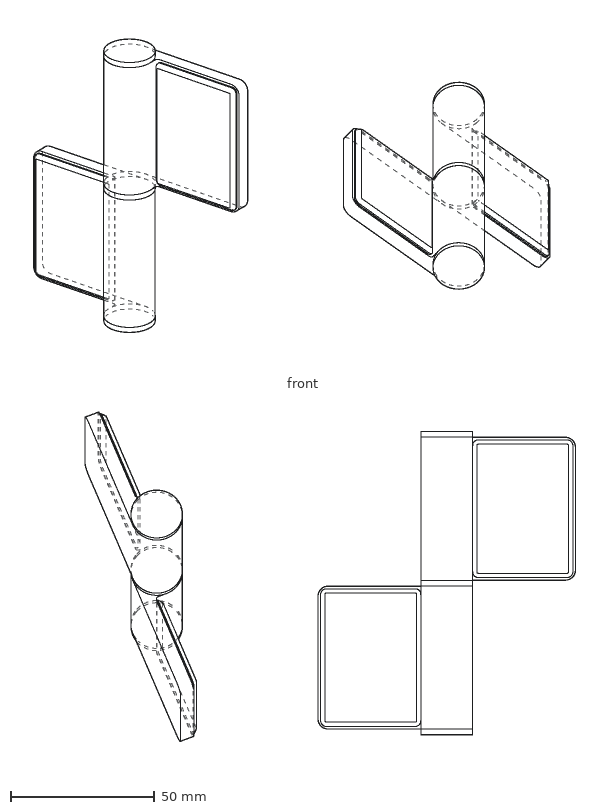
import cadquery as cq

total_height = 106.0
total_width = 90.0
barrel_diameter = 18.0
disc_thickness = 2.0
leaf_thickness = 5.0
leaf_corner_radius = 3.6
root_fillet_radius = 1.0
cover_height = 2.0
cover_chamfer = 1.5
cover_corner_radius = 2.0
cover_margin = 1.0

barrel_radius = barrel_diameter / 2
barrel_height = (total_height - 3 * disc_thickness) / 2
barrel_bottom = disc_thickness / 2
barrel_middle = barrel_bottom + barrel_height / 2
leaf_reach = total_width / 2
leaf_face_y = barrel_radius - leaf_thickness
cover_start = barrel_radius
cover_end = leaf_reach - cover_margin
cover_width = cover_end - cover_start
cover_length = barrel_height - 2 * cover_margin


def make_disc(bottom):
    """Disc of the barrel's diameter, used as an end cap or as the spacer."""
    return cq.Workplane("XY").workplane(offset=bottom).circle(barrel_radius).extrude(disc_thickness)


def make_leaf():
    """Upper hinge half: a barrel with a plate on its +X side, flush with the barrel's back.

    On the plate side the barrel is squared off: a flat side tangent to it runs back to the plate.
    """
    barrel = cq.Workplane("XY").workplane(offset=barrel_bottom).circle(barrel_radius).extrude(barrel_height)
    flat_side = (
        cq.Workplane("XY")
        .box(barrel_radius, barrel_radius, barrel_height, centered=(False, False, True))
        .translate((0, 0, barrel_middle))
    )
    plate = (
        cq.Workplane("XY")
        .box(leaf_reach, leaf_thickness, barrel_height, centered=(False, False, True))
        .translate((0, leaf_face_y, barrel_middle))
        .edges("|Y and >X")
        .fillet(leaf_corner_radius)
    )
    root_edge = cq.selectors.NearestToPointSelector((barrel_radius, leaf_face_y, barrel_middle))
    return barrel.union(flat_side).union(plate).edges(root_edge).fillet(root_fillet_radius)


def make_cover(leaf):
    """Chamfered cover on the leaf's front face, cut away where the root fillet rises under it."""
    cover = (
        cq.Workplane("XY")
        .box(cover_width, cover_height, cover_length)
        .translate(((cover_start + cover_end) / 2, leaf_face_y - cover_height / 2, barrel_middle))
        .edges("|Y")
        .fillet(cover_corner_radius)
        .faces("<Y")
        .chamfer(cover_chamfer)
    )
    return cover.cut(leaf)


upper_leaf = make_leaf()
upper_cover = make_cover(upper_leaf)

leaves = []
covers = []
for turn in (0, 180):
    leaves.append(upper_leaf.rotate((0, 0, 0), (0, 1, 0), turn))
    covers.append(upper_cover.rotate((0, 0, 0), (0, 1, 0), turn))

spacer = make_disc(-disc_thickness / 2)

end_caps = []
for cap_bottom in (-total_height / 2, total_height / 2 - disc_thickness):
    end_caps.append(make_disc(cap_bottom))

result = cq.Compound.makeCompound(
    [body.val() for body in [*leaves, *covers, spacer, *end_caps]]
)